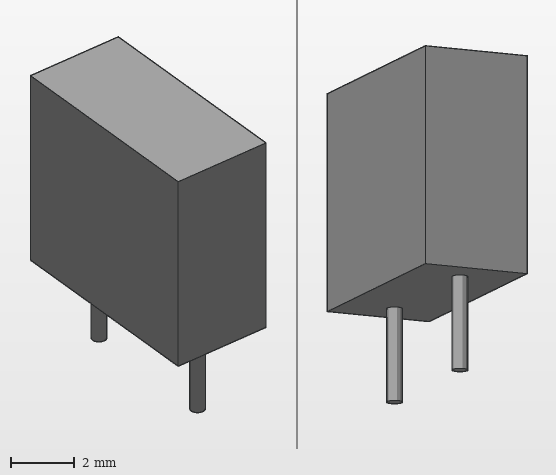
import cadquery as cq

total_height = 10.0
body_width = 7.5
body_depth = 3.5

lead_diameter = 0.5
lead_length = 3.0
lead_pitch = 5.0

body_height = total_height - lead_length


def make_body():
    """Rectangular case, centred in X and Y, with its underside at Z = 0."""
    return cq.Workplane("XY").box(body_width, body_depth, body_height, centered=(True, True, False))


def make_lead(x):
    """Round lead hanging from the flat underside of the case."""
    return cq.Workplane("XY").center(x, 0).circle(lead_diameter / 2).extrude(-lead_length)


body = make_body()
leads = [make_lead(side * lead_pitch / 2) for side in (-1, 1)]

result = cq.Compound.makeCompound([body.val(), *[lead.val() for lead in leads]])